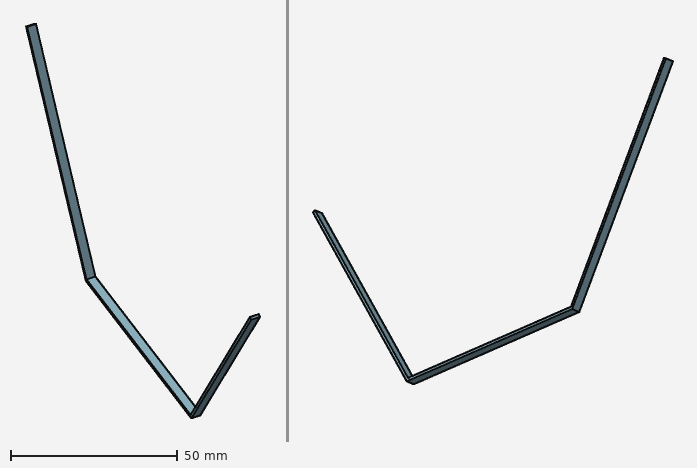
import cadquery as cq
import math

thickness = 1.0
strip_width = 3.0
base_length = 70.0
arm_length = 80.0
bend_angle = 60.0

rise = math.radians(bend_angle)

inner_corner = (base_length / 2, 0)
outer_corner = (base_length / 2 + thickness * math.tan(rise / 2), -thickness)
inner_tip = (
    inner_corner[0] + arm_length * math.cos(rise),
    arm_length * math.sin(rise),
)
outer_tip = (
    inner_tip[0] + thickness * math.sin(rise),
    inner_tip[1] - thickness * math.cos(rise),
)


def mirrored(points):
    """Mirror profile points about x = 0, reversed to keep the outline running on."""
    return [(-x, z) for x, z in reversed(points)]


right_half = [outer_corner, outer_tip, inner_tip, inner_corner]

result = (
    cq.Workplane("XZ")
    .polyline(right_half + mirrored(right_half))
    .close()
    .extrude(strip_width / 2, both=True)
)